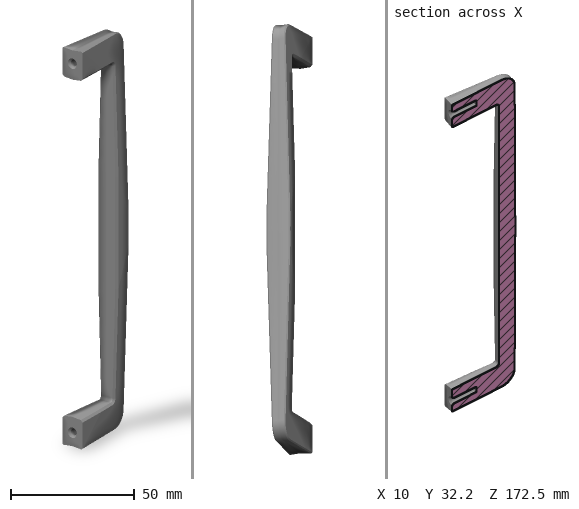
import cadquery as cq
import math

width = 10.0
depth = 32.2
height = 172.5

leg_thickness = 13.1
bar_thickness = 8.8
outer_radius = 6.9
inner_radius = 1.4
back_peak = 0.3

groove_depth = 0.43
ridge_height = 0.5
inner_bevel = 0.9
outer_bevel = 0.5

flat_half_length = 5.9
corner_drop = 2.5
foot_facet_depth = 15.5

hole_diameter = 2.8
hole_depth = 12.0
hole_edge_distance = 6.2
countersink_diameter = 4.5
countersink_depth = 0.9

half_width = width / 2
half_height = height / 2
opening_depth = depth - bar_thickness
opening_half_height = half_height - leg_thickness
hole_height = half_height - hole_edge_distance

groove_angle = math.atan2(groove_depth, half_width - outer_bevel)
rim_loss = outer_bevel * math.sin(groove_angle)
foot_tip_z = half_height + rim_loss
slope_length = foot_tip_z - flat_half_length


def join_to_sides(middle_outline, side_outline, corner_radius):
    """Ruled body between an outline on the middle plane and one on each side, corners rounded."""
    one_side = (
        cq.Workplane("YZ")
        .polyline(middle_outline)
        .close()
        .workplane(offset=half_width)
        .polyline(side_outline)
        .close()
        .loft(ruled=True)
        .edges("not #X")
        .edges(">Z or <Z")
        .fillet(corner_radius)
    )
    return one_side.union(one_side.mirror("YZ"))


def block_outline(back, end):
    shoulder = back - back_peak
    return [(-depth, -end), (shoulder, -end), (back, 0), (shoulder, end), (-depth, end)]


def make_outer_block():
    """Outer U shape with its grooved back, cut flat at the mounting plane."""
    middle = block_outline(depth - groove_depth, half_height - groove_depth)
    side = block_outline(depth + rim_loss, foot_tip_z)
    below_feet = cq.Workplane("XY").box(2 * width, 4 * depth, 2 * height).translate((0, -2 * depth, 0))
    return join_to_sides(middle, side, outer_radius).cut(below_feet)


def opening_outline(back, end):
    return [(-back, -end), (back, -end), (back, end), (-back, end)]


def make_opening():
    """Finger opening, narrowest on the middle plane so that a ridge remains."""
    middle = opening_outline(opening_depth, opening_half_height)
    side = opening_outline(opening_depth + ridge_height, opening_half_height + ridge_height)
    return join_to_sides(middle, side, inner_radius)


def make_tetrahedron(a, b, c, d):
    faces = []
    for triangle in ((a, b, c), (a, b, d), (b, c, d), (a, c, d)):
        faces.append(cq.Face.makeFromWires(cq.Wire.makePolygon(triangle, close=True)))
    return cq.Workplane(cq.Solid.makeSolid(cq.Shell.makeShell(faces)))


def flat_limit_z(y):
    """Height where the flat part of a side ends; it runs to the foot tip at y = 0."""
    return foot_tip_z - slope_length * y / depth


def slope_drop(y, z):
    """How far the sloping part of a side lies inside the flat part."""
    return corner_drop * (z - flat_limit_z(y)) / slope_length


def side_point(y, z, drop=0.0):
    return cq.Vector(half_width - drop, y, z)


def make_side_waste():
    """Material removed from the upper half of the +X side."""
    far_y = 2 * depth
    far_z = 2 * half_height
    slope = make_tetrahedron(
        side_point(-depth, flat_limit_z(-depth)),
        side_point(far_y, flat_limit_z(far_y)),
        side_point(far_y, far_z),
        side_point(far_y, far_z, slope_drop(far_y, far_z)),
    )
    facet_end = (foot_facet_depth, opening_half_height)
    foot_facet = make_tetrahedron(
        side_point(0, foot_tip_z),
        side_point(0, opening_half_height),
        side_point(*facet_end),
        side_point(*facet_end, slope_drop(*facet_end)),
    )
    return slope.union(foot_facet)


def slope_sides(body):
    waste = make_side_waste()
    waste = waste.union(waste.mirror("XY"))
    return body.cut(waste).cut(waste.mirror("YZ"))


def bevel_rims(body):
    """Bevel the long edges where the sides meet the finger opening and the grooved back."""
    margin = 0.2
    opening_y = opening_depth + ridge_height + margin
    opening_z = opening_half_height + ridge_height + margin
    narrowest = half_width - corner_drop - margin

    inner_rim = []
    outer_rim = []
    for edge in body.edges().vals():
        ends = (edge.startPoint(), edge.endPoint())
        if any(abs(end.x) < narrowest for end in ends):
            continue
        at_opening = [end.y < opening_y and abs(end.z) < opening_z for end in ends]
        if all(at_opening):
            inner_rim.append(edge)
        elif not any(at_opening):
            outer_rim.append(edge)
    body = body.newObject(inner_rim).chamfer(inner_bevel)
    return body.newObject(outer_rim).chamfer(outer_bevel)


def drill_foot(body, z):
    mounting_plane = cq.Workplane("XZ", origin=(0, 0, z))
    hole = mounting_plane.circle(hole_diameter / 2).extrude(-hole_depth)
    countersink = cq.Solid.makeCone(
        countersink_diameter / 2,
        hole_diameter / 2,
        countersink_depth,
        pnt=cq.Vector(0, 0, z),
        dir=cq.Vector(0, 1, 0),
    )
    return body.cut(hole).cut(cq.Workplane(countersink))


result = bevel_rims(slope_sides(make_outer_block().cut(make_opening())))
for hole_z in (-hole_height, hole_height):
    result = drill_foot(result, hole_z)